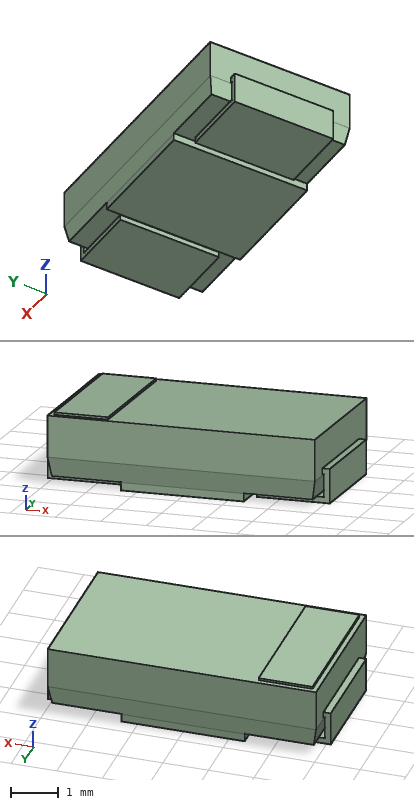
import cadquery as cq
import math

overall_length = 6.2

housing_length = 5.88
housing_width = 3.4
housing_top = 1.5
parting_height = 0.605
housing_underside = 0.18
draft_angle = 10.0

standoff_length = 2.7

mark_length = 1.18
mark_thickness = 0.05
mark_margin = 0.115

lead_width = 2.4
lead_height = 0.75
lead_foot_length = 1.6
lead_thickness = 0.13

draft_depth = parting_height - housing_underside
underside_width = housing_width - 2 * draft_depth * math.tan(math.radians(draft_angle))


def make_housing():
    upper = (
        cq.Workplane("XY")
        .workplane(offset=parting_height)
        .rect(housing_length, housing_width)
        .extrude(housing_top - parting_height)
    )
    lower = (
        cq.Workplane("XY")
        .workplane(offset=parting_height)
        .rect(housing_length, housing_width)
        .extrude(-draft_depth, taper=draft_angle)
    )
    standoff = cq.Workplane("XY").rect(standoff_length, underside_width).extrude(housing_underside)
    return upper.union(lower).union(standoff)


def make_polarity_mark():
    mark_center_x = -housing_length / 2 + mark_margin + mark_length / 2
    return (
        cq.Workplane("XY")
        .workplane(offset=housing_top)
        .center(mark_center_x, 0)
        .rect(mark_length, housing_width - 2 * mark_margin)
        .extrude(mark_thickness)
    )


def make_lead(side):
    """Lead at the -X end (side = -1) or the +X end (side = 1)."""
    outer_x = side * overall_length / 2
    inner_x = outer_x - side * lead_thickness
    foot_tip_x = outer_x - side * lead_foot_length
    housing_end_x = side * housing_length / 2
    return (
        cq.Workplane("XZ")
        .moveTo(foot_tip_x, 0)
        .lineTo(outer_x, 0)
        .lineTo(outer_x, lead_height)
        .lineTo(housing_end_x, lead_height)
        .lineTo(housing_end_x, lead_height - lead_thickness)
        .lineTo(inner_x, lead_height - lead_thickness)
        .lineTo(inner_x, lead_thickness)
        .lineTo(foot_tip_x, lead_thickness)
        .close()
        .extrude(lead_width / 2, both=True)
    )


housing = make_housing()
polarity_mark = make_polarity_mark()
leads = [make_lead(side) for side in (-1, 1)]

result = cq.Compound.makeCompound([
    housing.val(),
    polarity_mark.val(),
    *[lead.val() for lead in leads],
])